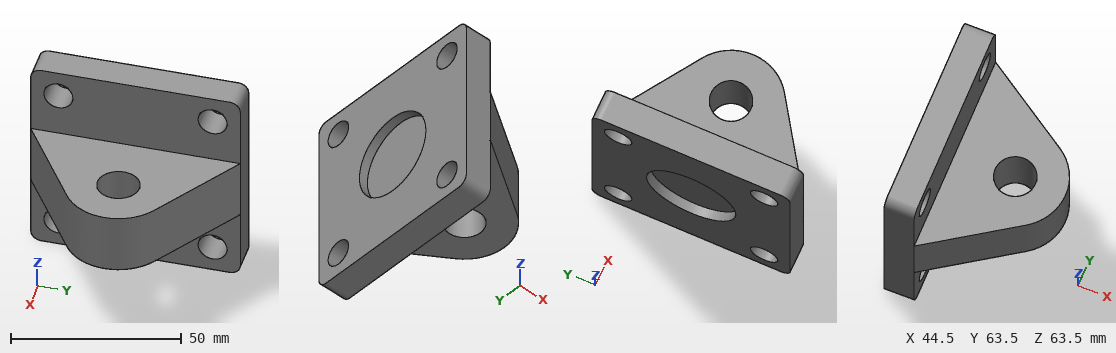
import cadquery as cq
import math

plate_side = 63.5
plate_thickness = 9.5
corner_radius = 3.2
bolt_spacing = 46.75
bolt_hole_diameter = 8.75

recess_diameter = 28.6
recess_depth = 3.2

overall_length = 44.45
lug_height = 19.05
lug_radius = 15.9
pin_hole_diameter = 12.7
pin_x = overall_length - lug_radius


def make_plate():
    plate = (
        cq.Workplane("YZ")
        .rect(plate_side, plate_side)
        .extrude(plate_thickness)
        .edges("|X")
        .fillet(corner_radius)
    )
    bolt_holes = (
        cq.Workplane("YZ")
        .rect(bolt_spacing, bolt_spacing, forConstruction=True)
        .vertices()
        .circle(bolt_hole_diameter / 2)
        .extrude(plate_thickness)
    )
    recess = cq.Workplane("YZ").circle(recess_diameter / 2).extrude(recess_depth)
    return plate.cut(bolt_holes).cut(recess)


def make_lug():
    half_width = plate_side / 2
    run_to_pin = pin_x - plate_thickness
    corner_to_pin = math.hypot(run_to_pin, half_width)
    corner_angle = math.atan2(half_width, -run_to_pin)
    tangent_angle = corner_angle - math.acos(lug_radius / corner_to_pin)
    tangent_x = pin_x + lug_radius * math.cos(tangent_angle)
    tangent_y = lug_radius * math.sin(tangent_angle)

    lug = (
        cq.Workplane("XY")
        .moveTo(plate_thickness, -half_width)
        .lineTo(tangent_x, -tangent_y)
        .threePointArc((overall_length, 0), (tangent_x, tangent_y))
        .lineTo(plate_thickness, half_width)
        .close()
        .extrude(lug_height / 2, both=True)
    )
    pin_hole = (
        cq.Workplane("XY")
        .center(pin_x, 0)
        .circle(pin_hole_diameter / 2)
        .extrude(lug_height / 2, both=True)
    )
    return lug.cut(pin_hole)


result = make_plate().union(make_lug())